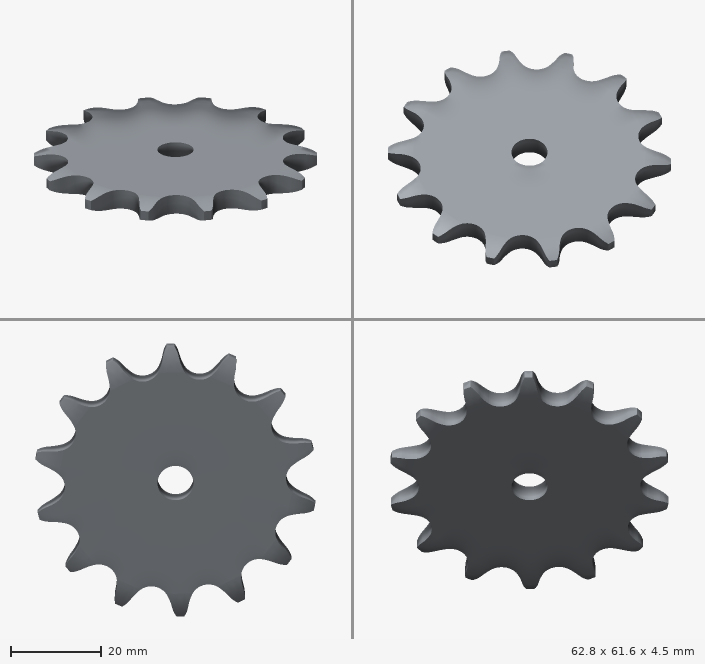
import cadquery as cq
import math


tooth_count = 14
outer_diameter = 62.8
thickness = 4.5
bore_diameter = 8.0
bevel_start_radius = 25.75
tip_thickness = 2.2

pitch_diameter = 57.1
seat_radius = 4.0
seat_end_angle = 39.3
flank_radius = 10.35
flank_sweep = 14.0
straight_length = 0.9
tip_arc_radius = 6.65

pitch_angle = 360.0 / tooth_count
half_pitch_angle = pitch_angle / 2
pitch_radius = pitch_diameter / 2
outer_radius = outer_diameter / 2
half_thickness = thickness / 2


def offset(point, distance, angle):
    """Point at a distance from another one, in a direction given in degrees."""
    direction = math.radians(angle)
    return (point[0] + distance * math.cos(direction), point[1] + distance * math.sin(direction))


def turn(point, angle):
    """Point turned about the origin by an angle in degrees."""
    radius = math.hypot(*point)
    return offset((0, 0), radius, math.degrees(math.atan2(point[1], point[0])) + angle)


def mirror(point):
    """Point mirrored across the Y axis."""
    return (-point[0], point[1])


def make_blank():
    """Bored disc whose rim curves in from both flat faces, tangent to them."""
    bevel_depth = outer_radius - bevel_start_radius
    bevel_drop = (thickness - tip_thickness) / 2
    bevel_radius = (bevel_depth**2 + bevel_drop**2) / (2 * bevel_drop)
    bevel_center = (bevel_start_radius, half_thickness - bevel_radius)
    bevel_sweep = math.degrees(math.asin(bevel_depth / bevel_radius))
    bevel_middle = offset(bevel_center, bevel_radius, 90 - bevel_sweep / 2)

    bore_radius = bore_diameter / 2
    half_tip = tip_thickness / 2
    section = (
        cq.Workplane("XZ")
        .moveTo(bore_radius, -half_thickness)
        .lineTo(bevel_start_radius, -half_thickness)
        .threePointArc((bevel_middle[0], -bevel_middle[1]), (outer_radius, -half_tip))
        .lineTo(outer_radius, half_tip)
        .threePointArc(bevel_middle, (bevel_start_radius, half_thickness))
        .lineTo(bore_radius, half_thickness)
        .close()
    )
    return section.revolve(360, (0, 0, 0), (0, 1, 0))


def make_tooth_prism():
    """Prism with the tooth outline; its teeth run to sharp points outside the outer diameter."""
    seat_center = (0, pitch_radius)
    root = (0, pitch_radius - seat_radius)
    seat_end = offset(seat_center, seat_radius, -seat_end_angle)

    flank_center = offset(seat_end, flank_radius, 180 - seat_end_angle)
    flank_middle = offset(flank_center, flank_radius, flank_sweep / 2 - seat_end_angle)
    flank_normal = flank_sweep - seat_end_angle
    flank_end = offset(flank_center, flank_radius, flank_normal)
    straight_end = offset(flank_end, straight_length, flank_normal + 90)

    tip_center = offset(straight_end, tip_arc_radius, flank_normal)
    tip_x, tip_y = turn(tip_center, half_pitch_angle)
    point_radius = tip_y + math.sqrt(tip_arc_radius**2 - tip_x**2)
    tooth_point = turn((0, point_radius), -half_pitch_angle)
    start_angle = flank_normal + 180
    end_angle = math.degrees(math.atan2(tooth_point[1] - tip_center[1], tooth_point[0] - tip_center[0]))
    tip_middle = offset(tip_center, tip_arc_radius, (start_angle + end_angle) / 2)

    first_gap_turn = half_pitch_angle - 90
    outline = cq.Workplane("XY", origin=(0, 0, -half_thickness))
    outline = outline.moveTo(*turn(mirror(tooth_point), first_gap_turn))
    for index in range(tooth_count):
        gap_turn = first_gap_turn - index * pitch_angle

        def place(point):
            return turn(point, gap_turn)

        outline = (
            outline
            .threePointArc(place(mirror(tip_middle)), place(mirror(straight_end)))
            .lineTo(*place(mirror(flank_end)))
            .threePointArc(place(mirror(flank_middle)), place(mirror(seat_end)))
            .threePointArc(place(root), place(seat_end))
            .threePointArc(place(flank_middle), place(flank_end))
            .lineTo(*place(straight_end))
            .threePointArc(place(tip_middle), place(tooth_point))
        )
    return outline.close().extrude(thickness)


result = make_blank().intersect(make_tooth_prism())